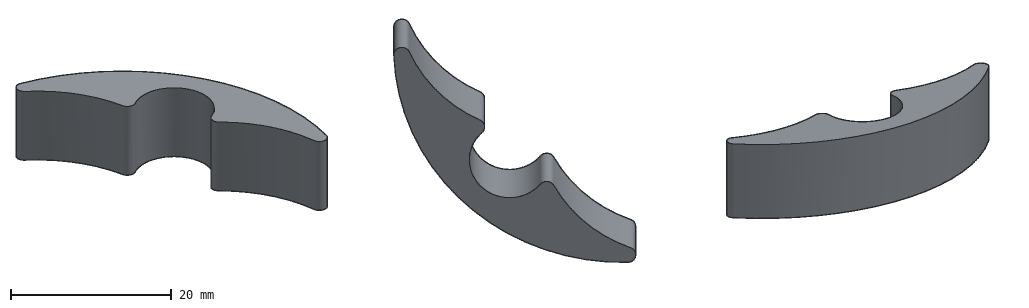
import cadquery as cq
import math

length = 40.65
depth = 9.95
height = 10.0

round_radius = 1.0
notch_radius = 5.0
web_thickness = 3.0
prong_drop = 0.35

tip_angle = -30
prong_angle = -120

underside_radius = 17.8


def point_towards(start, end, distance):
    """Point at the given distance from start along the line to end."""
    span = math.dist(start, end)
    return tuple(a + (b - a) * distance / span for a, b in zip(start, end))


def mirrored(point):
    """Reflect a point across the part's plane of symmetry."""
    return (-point[0], point[1])


tip_x = length / 2 - round_radius
tip_drop = depth - round_radius
tip = (tip_x, -tip_drop)

notch = (0.0, -(web_thickness + notch_radius))
prong_x = math.sqrt((notch_radius + round_radius) ** 2 - prong_drop**2)
prong = (prong_x, notch[1] - prong_drop)

outer_radius = (tip_x**2 + tip_drop**2 - round_radius**2) / (2 * (tip_drop - round_radius))
outer = (0.0, -outer_radius)

half_chord = math.dist(tip, prong) / 2
middle = point_towards(prong, tip, half_chord)
offset = math.sqrt((underside_radius + round_radius) ** 2 - half_chord**2)
along_x = (tip[0] - prong[0]) / (2 * half_chord)
along_y = (tip[1] - prong[1]) / (2 * half_chord)
underside = (middle[0] + along_y * offset, middle[1] - along_x * offset)

outer_end = point_towards(outer, tip, outer_radius)
tip_end = point_towards(tip, underside, round_radius)
prong_start = point_towards(prong, underside, round_radius)
prong_end = point_towards(prong, notch, round_radius)

tip_middle = (
    tip[0] + round_radius * math.cos(math.radians(tip_angle)),
    tip[1] + round_radius * math.sin(math.radians(tip_angle)),
)
underside_middle = point_towards(underside, middle, underside_radius)
prong_middle = (
    prong[0] + round_radius * math.cos(math.radians(prong_angle)),
    prong[1] + round_radius * math.sin(math.radians(prong_angle)),
)
crown = (0.0, 0.0)
notch_top = (0.0, -web_thickness)

profile = (
    cq.Workplane("XY")
    .moveTo(*mirrored(outer_end))
    .threePointArc(crown, outer_end)
    .threePointArc(tip_middle, tip_end)
    .threePointArc(underside_middle, prong_start)
    .threePointArc(prong_middle, prong_end)
    .threePointArc(notch_top, mirrored(prong_end))
    .threePointArc(mirrored(prong_middle), mirrored(prong_start))
    .threePointArc(mirrored(underside_middle), mirrored(tip_end))
    .threePointArc(mirrored(tip_middle), mirrored(outer_end))
    .close()
)

result = profile.extrude(height)